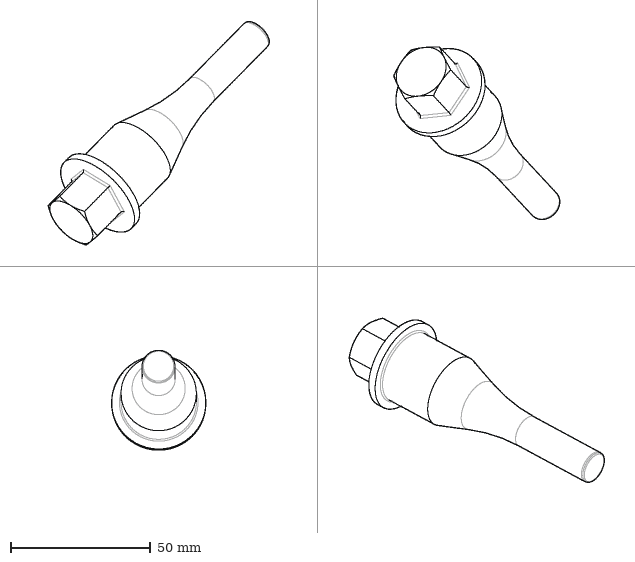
import cadquery as cq
import math

shank_length = 32.2
blend_length = 22.7
cone_length = 12.5
body_length = 22.0
flange_thickness = 3.0
head_height = 15.2

shank_radius = 5.9
body_radius = 13.5
flange_radius = 16.9
head_across_flats = 19.7

tip_fillet = 0.4
tip_taper_length = 0.6
tip_taper_inset = 0.1
body_root_fillet = 0.6
head_root_fillet = 0.8
head_chamfer_angle = 30.0

rise_angle = math.radians(24.3)
turn_angle = math.radians(25.4)
pin_direction = (
    -math.cos(rise_angle) * math.sin(turn_angle),
    math.cos(rise_angle) * math.cos(turn_angle),
    math.sin(rise_angle),
)
head_corner_direction = (0, -1, 2)

body_start = flange_thickness
cone_start = body_start + body_length
blend_start = cone_start + cone_length
shank_start = blend_start + blend_length
tip = shank_start + shank_length

blend_radius_gain = 3.6
chord_angle = math.atan(blend_radius_gain / blend_length)
blend_radius = blend_length / math.sin(2 * chord_angle)
blend_end_radius = shank_radius + blend_radius_gain


def make_stem():
    """Flange, body, cone, blend and shank turned about the local Z axis."""
    blend_mid = (
        shank_radius + blend_radius * (1 - math.cos(chord_angle)),
        shank_start - blend_radius * math.sin(chord_angle),
    )
    tip_radius = shank_radius - tip_taper_inset
    root_mid_offset = body_root_fillet * (1 - math.sqrt(0.5))
    tip_mid_offset = tip_fillet * (1 - math.sqrt(0.5))
    return (
        cq.Workplane("XZ")
        .lineTo(flange_radius, 0)
        .lineTo(flange_radius, body_start)
        .lineTo(body_radius + body_root_fillet, body_start)
        .threePointArc(
            (body_radius + root_mid_offset, body_start + root_mid_offset),
            (body_radius, body_start + body_root_fillet),
        )
        .lineTo(body_radius, cone_start)
        .lineTo(blend_end_radius, blend_start)
        .threePointArc(blend_mid, (shank_radius, shank_start))
        .lineTo(shank_radius, tip - tip_fillet - tip_taper_length)
        .lineTo(tip_radius, tip - tip_fillet)
        .threePointArc(
            (tip_radius - tip_mid_offset, tip - tip_mid_offset),
            (tip_radius - tip_fillet, tip),
        )
        .lineTo(0, tip)
        .close()
        .revolve(360, (0, 0, 0), (0, 1, 0))
    )


def make_head():
    """Hexagonal head below the flange, with its outer corners turned off to a cone."""
    corner_radius = head_across_flats / math.sqrt(3)
    flat_radius = head_across_flats / 2
    chamfer_height = (corner_radius - flat_radius) * math.tan(math.radians(head_chamfer_angle))
    hexagon = cq.Workplane("XY").polygon(6, 2 * corner_radius).extrude(-head_height)
    turned_blank = (
        cq.Workplane("XY")
        .circle(corner_radius)
        .extrude(-head_height)
        .faces("<Z")
        .chamfer(chamfer_height, corner_radius - flat_radius)
    )
    return hexagon.intersect(turned_blank)


def is_head_root(edge):
    """True for the straight edges where the head meets the flange."""
    tolerance = 0.0001
    box = edge.BoundingBox()
    return edge.geomType() == "LINE" and abs(box.zmin) < tolerance and box.zlen < tolerance


pin = make_stem().union(make_head())
head_root = [edge for edge in pin.edges().vals() if is_head_root(edge)]
pin = pin.newObject(head_root).fillet(head_root_fillet)

tilt = cq.Plane(origin=(0, 0, 0), xDir=head_corner_direction, normal=pin_direction)
result = cq.Workplane(obj=pin.val().moved(cq.Location(tilt)))